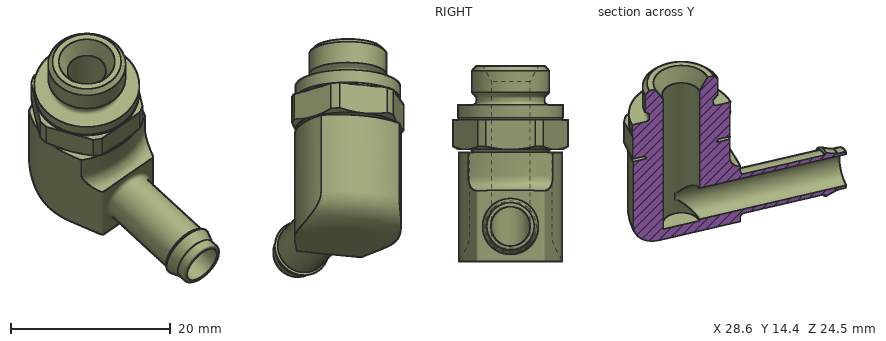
import cadquery as cq
import math

total_height = 24.45
ring_radius = 6.57
total_length = 28.57
hose_end_x = total_length - ring_radius
hose_axis_z = 4.4

block_height = 13.65
block_half_width = 6.49
block_arc_radius = 10.43
arc_center_offset = block_arc_radius - block_half_width
back_corner = (math.sqrt(2 * block_arc_radius**2 - arc_center_offset**2) - arc_center_offset) / 2
taper_angle = math.radians(20.8)
block_front_x = 7.89
front_corner_round = 0.37
heel_radius = 3.5
shoulder_radius = 1.77
shoulder_start_z = 10.65

nut_bottom_z = 14.03
nut_top_z = 17.7
nut_across_flats = 13.0
nut_corner_radius = 7.2
nut_chamfer_bottom_radius = 6.5
nut_chamfer_height = 0.37
collar_bottom_radius = 4.69
collar_top_radius = 4.97

ring_bottom_z = 17.97
ring_top_z = 19.6
stem_radius = 4.85
neck_radius = 4.29
stem_chamfer = 0.57
stem_bottom_z = 21.15
neck_foot_fillet = 0.49
neck_top_fillet = 0.37

hose_radius = 3.2
hose_root_fillet = 0.49
barb_radius = 3.5
barb_start_x = 19.08
barb_crest_width = 0.23
barb_round = 0.09
tip_radius = 2.957
tip_start_x = 20.8
tip_round = 0.23

stem_bore_radius = 2.4
countersink_radius = 3.5
countersink_depth = 1.9
stem_bore_floor_z = 1.7
hose_bore_radius = 2.45


def block_outline():
    """Plan of the block: bowed back and sides, flat tapering flanks and a flat front."""
    tangent_x = block_arc_radius * math.sin(taper_angle)
    tangent_y = block_arc_radius * math.cos(taper_angle) - arc_center_offset
    front_y = tangent_y - (block_front_x - tangent_x) * math.tan(taper_angle)
    return (
        cq.Workplane("XY")
        .moveTo(-back_corner, -back_corner)
        .threePointArc((0, -block_half_width), (tangent_x, -tangent_y))
        .lineTo(block_front_x, -front_y)
        .lineTo(block_front_x, front_y)
        .lineTo(tangent_x, tangent_y)
        .threePointArc((0, block_half_width), (-back_corner, back_corner))
        .threePointArc((-block_half_width, 0), (-back_corner, -back_corner))
        .close()
    )


def heel_envelope():
    """Drum sharing the axis of the bowed back, with a rounded lower rim."""
    flat_radius = block_arc_radius - heel_radius
    diagonal = heel_radius * math.sqrt(0.5)
    return (
        cq.Workplane("XZ")
        .lineTo(flat_radius, 0)
        .threePointArc((flat_radius + diagonal, heel_radius - diagonal), (block_arc_radius, heel_radius))
        .lineTo(block_arc_radius, block_height)
        .lineTo(0, block_height)
        .close()
        .revolve(360, (0, 0, 0), (0, 1, 0))
        .translate((arc_center_offset, 0, 0))
    )


def shoulder_cut():
    """Annular cut that bows the upper front face and ends in a concave shoulder."""
    shoulder_z = shoulder_start_z - shoulder_radius
    shoulder_outer = block_arc_radius + shoulder_radius
    cut_outer = shoulder_outer + shoulder_radius
    diagonal = shoulder_radius * math.sqrt(0.5)
    cut = (
        cq.Workplane("XZ")
        .moveTo(block_arc_radius, block_height)
        .lineTo(block_arc_radius, shoulder_start_z)
        .threePointArc((shoulder_outer - diagonal, shoulder_start_z - diagonal), (shoulder_outer, shoulder_z))
        .lineTo(cut_outer, shoulder_z)
        .lineTo(cut_outer, block_height)
        .close()
        .revolve(360, (0, 0, 0), (0, 1, 0))
        .translate((-arc_center_offset, 0, 0))
    )
    front_half = cq.Workplane("XY").box(
        2 * cut_outer, 2 * cut_outer, total_height, centered=(False, True, False)
    )
    return cut.intersect(front_half)


def elbow_block():
    block = block_outline().extrude(block_height)
    block = block.edges("|Z and >X").fillet(front_corner_round)
    return block.intersect(heel_envelope()).cut(shoulder_cut())


def nut():
    """Hexagon with turned corners and a chamfered underside."""
    corner_diameter = nut_across_flats / math.cos(math.pi / 6)
    hexagon = (
        cq.Workplane("XY", origin=(0, 0, nut_bottom_z))
        .polygon(6, corner_diameter)
        .extrude(nut_top_z - nut_bottom_z)
        .rotate((0, 0, 0), (0, 0, 1), 30)
    )
    turned = (
        cq.Workplane("XZ")
        .moveTo(0, nut_bottom_z)
        .lineTo(nut_chamfer_bottom_radius, nut_bottom_z)
        .lineTo(nut_corner_radius, nut_bottom_z + nut_chamfer_height)
        .lineTo(nut_corner_radius, nut_top_z)
        .lineTo(0, nut_top_z)
        .close()
        .revolve(360, (0, 0, 0), (0, 1, 0))
    )
    return hexagon.intersect(turned)


def stem():
    """Turned collar, sealing ring, relief neck and threaded head."""
    diagonal = math.sqrt(0.5)
    foot_outer = neck_radius + neck_foot_fillet
    foot_top_z = ring_top_z + neck_foot_fillet
    cone_radius = neck_radius + neck_top_fillet * (1 - diagonal)
    cone_z = stem_bottom_z - (stem_radius - cone_radius)
    neck_end_z = cone_z - neck_top_fillet * diagonal
    arc_mid = (
        neck_radius + neck_top_fillet * (1 - math.cos(math.pi / 8)),
        neck_end_z + neck_top_fillet * math.sin(math.pi / 8),
    )
    return (
        cq.Workplane("XZ")
        .moveTo(0, block_height)
        .lineTo(collar_bottom_radius, block_height)
        .lineTo(collar_top_radius, nut_bottom_z)
        .lineTo(collar_top_radius, nut_top_z)
        .lineTo(nut_across_flats / 2, nut_top_z)
        .lineTo(nut_across_flats / 2, ring_bottom_z)
        .lineTo(ring_radius, ring_bottom_z)
        .lineTo(ring_radius, ring_top_z)
        .lineTo(foot_outer, ring_top_z)
        .threePointArc(
            (foot_outer - neck_foot_fillet * diagonal, foot_top_z - neck_foot_fillet * diagonal),
            (neck_radius, foot_top_z),
        )
        .lineTo(neck_radius, neck_end_z)
        .threePointArc(arc_mid, (cone_radius, cone_z))
        .lineTo(stem_radius, stem_bottom_z)
        .lineTo(stem_radius, total_height - stem_chamfer)
        .lineTo(stem_radius - stem_chamfer, total_height)
        .lineTo(0, total_height)
        .close()
        .revolve(360, (0, 0, 0), (0, 1, 0))
    )


def hose_nozzle():
    """Turned nozzle along X with a filleted root, a barb and a rounded tip."""
    diagonal = math.sqrt(0.5)
    root_outer = hose_radius + hose_root_fillet
    root_end_x = block_front_x + hose_root_fillet
    barb_land = barb_radius - barb_round
    return (
        cq.Workplane("XZ", origin=(0, 0, hose_axis_z))
        .lineTo(0, hose_radius)
        .lineTo(block_front_x, hose_radius)
        .lineTo(block_front_x, root_outer)
        .threePointArc(
            (root_end_x - hose_root_fillet * diagonal, root_outer - hose_root_fillet * diagonal),
            (root_end_x, hose_radius),
        )
        .lineTo(barb_start_x, hose_radius)
        .lineTo(barb_start_x, barb_land)
        .threePointArc(
            (barb_start_x + barb_round * (1 - diagonal), barb_land + barb_round * diagonal),
            (barb_start_x + barb_round, barb_radius),
        )
        .lineTo(barb_start_x + barb_crest_width, barb_radius)
        .lineTo(tip_start_x, tip_radius)
        .lineTo(hose_end_x - tip_round, tip_radius)
        .threePointArc(
            (hose_end_x - tip_round * (1 - diagonal), tip_radius - tip_round * (1 - diagonal)),
            (hose_end_x, tip_radius - tip_round),
        )
        .lineTo(hose_end_x, 0)
        .close()
        .revolve(360, (0, 0, 0), (1, 0, 0))
    )


def stem_bore():
    """Blind vertical bore with a conical mouth."""
    return (
        cq.Workplane("XZ")
        .moveTo(0, stem_bore_floor_z)
        .lineTo(stem_bore_radius, stem_bore_floor_z)
        .lineTo(stem_bore_radius, total_height - countersink_depth)
        .lineTo(countersink_radius, total_height)
        .lineTo(0, total_height)
        .close()
        .revolve(360, (0, 0, 0), (0, 1, 0))
    )


def hose_bore():
    """Horizontal bore from the nozzle tip to the stem axis."""
    return cq.Workplane("YZ", origin=(0, 0, hose_axis_z)).circle(hose_bore_radius).extrude(hose_end_x)


body = elbow_block().union(nut()).union(stem()).union(hose_nozzle())
result = body.cut(stem_bore()).cut(hose_bore())